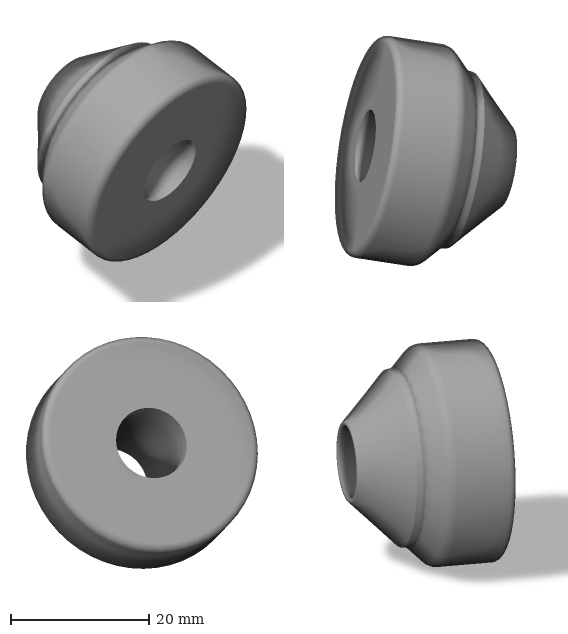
import cadquery as cq
import math

total_length = 21.22
outer_radius = 16.25
bore_radius = 5.3

cone_angle = math.radians(45)
sin_cone = math.sin(cone_angle)
cos_cone = math.cos(cone_angle)
tan_cone = math.tan(cone_angle)

sleeve_radius = 12.6 / 2
lip_radius = 0.4
nose_cone_end = 7.1
nose_length = 8.25

shoulder_radius = 2.0
shoulder_end = 12.25
rear_round = 1.0

shoulder_centre_r = outer_radius - shoulder_radius
shoulder_start_x = shoulder_end - shoulder_radius * sin_cone
shoulder_start_r = shoulder_centre_r + shoulder_radius * cos_cone

seat_x = shoulder_start_x - (shoulder_start_r - sleeve_radius) / tan_cone
nose_rear_r = shoulder_start_r - (shoulder_start_x - nose_length) * tan_cone


def turn(profile):
    """Turn a closed (X, radius) profile about the X axis."""
    return profile.close().revolve(360, (0, 0, 0), (1, 0, 0))


def make_nose():
    """Conical shell with a rounded lip and a flared rear band, on a sleeve through the housing."""
    lip_centre_r = bore_radius + lip_radius
    cone_start_x = lip_radius * (1 - sin_cone)
    cone_start_r = lip_centre_r + lip_radius * cos_cone
    cone_end_r = cone_start_r + (nose_cone_end - cone_start_x) * tan_cone
    return turn(
        cq.Workplane("XY")
        .moveTo(total_length, bore_radius)
        .lineTo(lip_radius, bore_radius)
        .threePointArc((0, lip_centre_r), (cone_start_x, cone_start_r))
        .lineTo(nose_cone_end, cone_end_r)
        .lineTo(nose_length, nose_rear_r)
        .lineTo(seat_x, sleeve_radius)
        .lineTo(total_length, sleeve_radius)
    )


def make_housing():
    """Bored housing with a conical front, a rounded shoulder and a rounded rear edge."""
    shoulder_mid = (
        shoulder_end - shoulder_radius * math.sin(cone_angle / 2),
        shoulder_centre_r + shoulder_radius * math.cos(cone_angle / 2),
    )
    body = turn(
        cq.Workplane("XY")
        .moveTo(seat_x, sleeve_radius)
        .lineTo(shoulder_start_x, shoulder_start_r)
        .threePointArc(shoulder_mid, (shoulder_end, outer_radius))
        .lineTo(total_length, outer_radius)
        .lineTo(total_length, sleeve_radius)
    )
    outer_edge = cq.selectors.RadiusNthSelector(-1)
    return body.faces(">X").edges(outer_edge).fillet(rear_round)


nose = make_nose()
housing = make_housing()

result = cq.Compound.makeCompound([nose.val(), housing.val()])